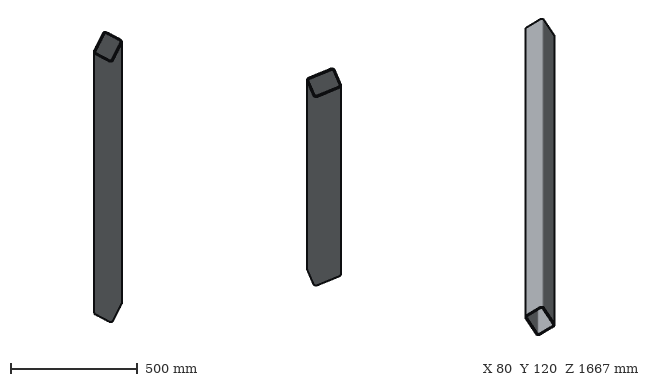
import cadquery as cq
import math

width = 80.0
depth = 120.0
overall_height = 1667.0
wall = 6.0
outer_radius = 2 * wall
inner_radius = outer_radius - wall
miter_angle = 18.0

half_width = width / 2
half_height = overall_height / 2
miter_drop = width * math.tan(math.radians(miter_angle))


def rounded_bar(size_x, size_y, corner_radius):
    """Upright bar with rounded vertical edges, centred on the origin."""
    bar = cq.Workplane("XY").box(size_x, size_y, overall_height)
    return bar.edges("|Z").fillet(corner_radius)


outer = rounded_bar(width, depth, outer_radius)
bore = rounded_bar(width - 2 * wall, depth - 2 * wall, inner_radius)
tube = outer.cut(bore)

miter_envelope = (
    cq.Workplane("XZ", origin=(0, depth / 2, 0))
    .polyline([
        (-half_width, half_height),
        (half_width, half_height - miter_drop),
        (half_width, -half_height),
        (-half_width, -half_height + miter_drop),
    ])
    .close()
    .extrude(depth)
)

result = tube.intersect(miter_envelope)